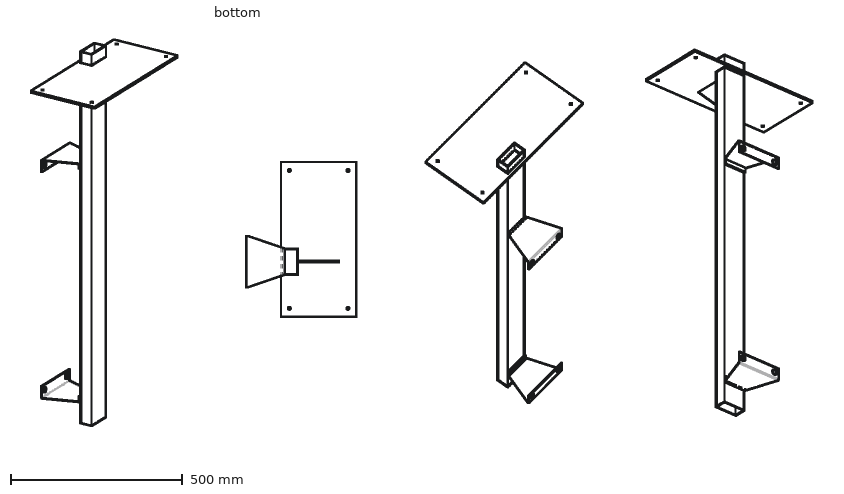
import cadquery as cq

POST_HEIGHT = 1175.0
POST_DEPTH = 40.0
POST_WIDTH = 78.0
POST_WALL = 2.8

PLATE_LENGTH_X = 220.0
PLATE_LENGTH_Y = 450.0
PLATE_THICKNESS = 6.0
PLATE_TOP_DROP = 35.0
PLATE_OVERHANG = 10.0
PLATE_OFFSET_Y = -65.0
PLATE_HOLE_DIAMETER = 7.0
PLATE_HOLE_INSET = 25.0

GUSSET_LEG = 120.0
GUSSET_THICKNESS = 6.0

SHEET = 3.0
BEND_RADIUS = 1.5
BRACKET_REACH = 111.0
BRACKET_WIDTH = 150.0
FRONT_FLANGE_HEIGHT = 39.0
REAR_LIP_HEIGHT = 18.0
REAR_LIP_THICKNESS = 6.0
REAR_LIP_WIDTH = 75.0
BRACKET_HOLE_DIAMETER = 16.0
BRACKET_HOLE_SPACING = 120.0
BRACKET_HOLE_HEIGHT = 22.0
UPPER_BRACKET_TOP = 821.0
LOWER_BRACKET_BOTTOM = 66.0

POST_FRONT = -POST_DEPTH / 2
POST_BACK = POST_DEPTH / 2
PLATE_TOP = POST_HEIGHT - PLATE_TOP_DROP
PLATE_BOTTOM = PLATE_TOP - PLATE_THICKNESS


def make_post():
    outer = cq.Workplane("XY").rect(POST_DEPTH, POST_WIDTH).extrude(POST_HEIGHT)
    bore = (
        cq.Workplane("XY")
        .rect(POST_DEPTH - 2 * POST_WALL, POST_WIDTH - 2 * POST_WALL)
        .extrude(POST_HEIGHT)
    )
    return outer.cut(bore)


def make_plate():
    center_x = POST_FRONT - PLATE_OVERHANG + PLATE_LENGTH_X / 2
    return (
        cq.Workplane("XY", origin=(center_x, PLATE_OFFSET_Y, PLATE_BOTTOM))
        .rect(PLATE_LENGTH_X, PLATE_LENGTH_Y)
        .extrude(PLATE_THICKNESS)
        .faces(">Z")
        .workplane(origin=(center_x, PLATE_OFFSET_Y, PLATE_TOP))
        .rect(
            PLATE_LENGTH_X - 2 * PLATE_HOLE_INSET,
            PLATE_LENGTH_Y - 2 * PLATE_HOLE_INSET,
            forConstruction=True,
        )
        .vertices()
        .hole(PLATE_HOLE_DIAMETER)
    )


def make_gusset():
    return (
        cq.Workplane("XZ")
        .moveTo(POST_BACK, PLATE_BOTTOM)
        .lineTo(POST_BACK + GUSSET_LEG, PLATE_BOTTOM)
        .lineTo(POST_BACK, PLATE_BOTTOM - GUSSET_LEG)
        .close()
        .extrude(GUSSET_THICKNESS / 2, both=True)
    )


def make_bracket(outer_z, upright):
    """Tapered web with a front flange and a rear lip, pointing up when upright and down otherwise.

    outer_z is the height of the outer face of the web.
    """
    front_x = POST_FRONT - BRACKET_REACH
    web = (
        cq.Workplane("XY")
        .polyline([
            (front_x, -BRACKET_WIDTH / 2),
            (front_x + SHEET + BEND_RADIUS, -BRACKET_WIDTH / 2),
            (POST_FRONT, -POST_WIDTH / 2),
            (POST_FRONT, POST_WIDTH / 2),
            (front_x + SHEET + BEND_RADIUS, BRACKET_WIDTH / 2),
            (front_x, BRACKET_WIDTH / 2),
        ])
        .close()
        .extrude(SHEET)
    )
    front_flange = cq.Workplane("XY").box(
        SHEET, BRACKET_WIDTH, FRONT_FLANGE_HEIGHT, centered=(False, True, False)
    ).translate((front_x, 0, 0))
    folded_sheet = (
        web.union(front_flange)
        .edges(cq.selectors.NearestToPointSelector((front_x + SHEET, 0, SHEET)))
        .fillet(BEND_RADIUS)
        .edges(cq.selectors.NearestToPointSelector((front_x, 0, 0)))
        .fillet(BEND_RADIUS + SHEET)
    )
    rear_lip = cq.Workplane("XY").box(
        REAR_LIP_THICKNESS, REAR_LIP_WIDTH, REAR_LIP_HEIGHT, centered=(False, True, False)
    ).translate((POST_FRONT - REAR_LIP_THICKNESS, 0, 0))
    holes = (
        cq.Workplane("YZ", origin=(front_x, 0, BRACKET_HOLE_HEIGHT))
        .pushPoints([(-BRACKET_HOLE_SPACING / 2, 0), (BRACKET_HOLE_SPACING / 2, 0)])
        .circle(BRACKET_HOLE_DIAMETER / 2)
        .extrude(SHEET)
    )
    bracket = folded_sheet.union(rear_lip).cut(holes)
    if not upright:
        bracket = bracket.mirror("XY")
    return bracket.translate((0, 0, outer_z))


stand = make_post().union(make_plate()).union(make_gusset())

bracket_places = [(LOWER_BRACKET_BOTTOM, True), (UPPER_BRACKET_TOP, False)]
brackets = [make_bracket(outer_z, upright) for outer_z, upright in bracket_places]

result = cq.Compound.makeCompound([stand.val(), *[bracket.val() for bracket in brackets]])